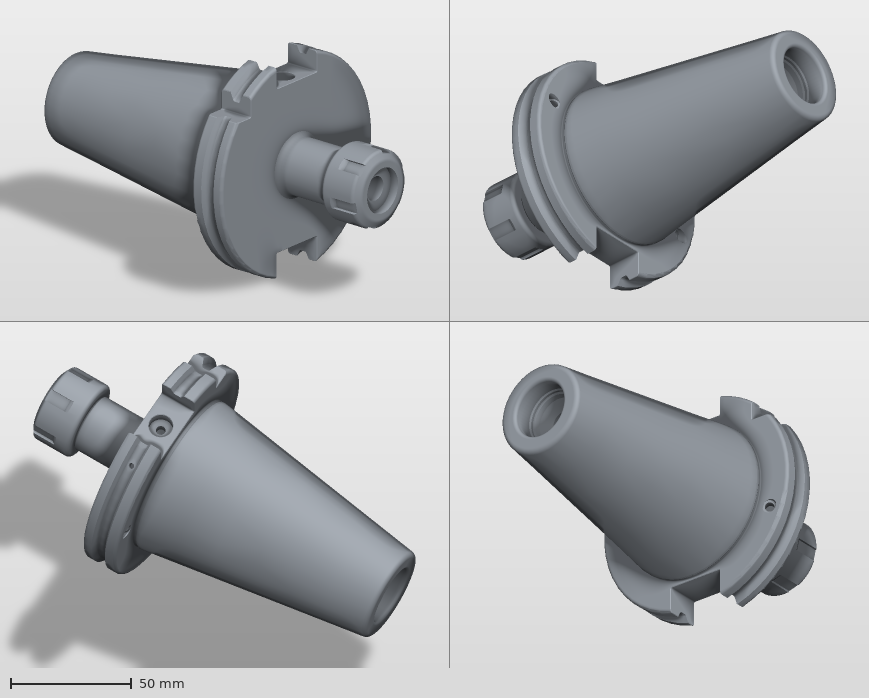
import cadquery as cq
import math


OVERALL_LENGTH = 167.0

TAPER_RATIO = 7 / 24
TAPER_LENGTH = 101.8
GAUGE_RADIUS = 34.9
SMALL_END_RADIUS = GAUGE_RADIUS - TAPER_LENGTH * TAPER_RATIO / 2
SMALL_END_FILLET = 2.2

RELIEF_START = 102.8
RELIEF_DEPTH = 0.3
RELIEF_RAMP = 0.5
RELIEF_FILLET = 0.5
RELIEF_RADIUS = GAUGE_RADIUS - RELIEF_DEPTH

FLANGE_START = 104.7
FLANGE_WIDTH = 16.0
FLANGE_END = FLANGE_START + FLANGE_WIDTH
FLANGE_DIAMETER = 97.3
FLANGE_RADIUS = FLANGE_DIAMETER / 2
FLANGE_RIM_FILLET = 1.5

GROOVE_CENTRE = 113.0
GROOVE_HALF_WIDTH = 3.3
GROOVE_DEPTH = 3.0
GROOVE_FLANK_ANGLE = 30.0
GROOVE_ROOT_FILLET = 1.0
GROOVE_ROOT_HALF_WIDTH = GROOVE_HALF_WIDTH - GROOVE_DEPTH * math.tan(math.radians(GROOVE_FLANK_ANGLE))
GROOVE_ROOT_RADIUS = FLANGE_RADIUS - GROOVE_DEPTH

SLOT_WIDTH = 25.7
TOP_SLOT_FLOOR = 37.5
BOTTOM_SLOT_FLOOR = 35.4
NOTCH_OFFSET = 29.7
SLOT_CORNER_FILLET = 0.5
SLOT_EDGE_CHAMFER = 0.25

CHIP_HOLE_RADIUS = 5.0
CHIP_HOLE_DEPTH = 4.7
CHIP_HOLE_CHAMFER = 0.25
CHIP_PILOT_RADIUS = 2.0
CHIP_PILOT_DEPTH = 3.3
DRILL_POINT_ANGLE = 118.0
CHIP_PILOT_TIP = CHIP_PILOT_RADIUS / math.tan(math.radians(DRILL_POINT_ANGLE / 2))

COOLANT_HOLE_RADIUS = 3.0
COOLANT_HOLE_DEPTH = 1.8
COOLANT_PILOT_RADIUS = 2.0
COOLANT_PILOT_DEPTH = 6.7
COOLANT_HOLE_Y = 39.0
COOLANT_HOLE_Z = 14.2
COOLANT_HOLE_LEAN = 35.0

GROOVE_HOLE_RADIUS = 1.2
GROOVE_HOLE_DEPTH = 3.3
GROOVE_HOLE_Y = 22.7

SHANK_RADIUS = 12.5
SHANK_END = 148.0
SHANK_END_CHAMFER = 0.8
FLARE_RADIUS = 3.8
FLARE_LENGTH = 3.3
SPIGOT_RADIUS = 10.0
SPIGOT_LENGTH = 15.0

ENTRY_RADIUS = 12.5
ENTRY_FILLET = 1.5
ENTRY_DEPTH = 9.2
LAND_RADIUS = 11.9
LAND_START = 9.7
LAND_END = 10.9
LEAD_IN_RADIUS = 11.0
LEAD_IN_START = 11.4
CONE_RADIUS = 10.2
CONE_START = 13.4
CONE_LENGTH = 3.0
THROUGH_RADIUS = 5.3

NUT_RADIUS = 17.0
NUT_FACE_RADIUS = 13.2
NUT_CONE_HALF_ANGLE = 60.0
NUT_CONE_LENGTH = (NUT_RADIUS - NUT_FACE_RADIUS) / math.tan(math.radians(NUT_CONE_HALF_ANGLE))
NUT_EDGE_FILLET = 1.7
NUT_FACE_FILLET = 2.5

SPANNER_SLOT_COUNT = 6
SPANNER_SLOT_FIRST_ANGLE = 46.4
SPANNER_SLOT_WIDTH = 5.3
SPANNER_SLOT_FLOOR = 15.5
SPANNER_SLOT_RAMP = 2.0
SHORT_SLOT_START = 154.1
LONG_SLOT_START = 152.5


def revolve_about_x(outline):
    """Revolve a closed (X, radius) outline a full turn about the X axis."""
    return outline.close().revolve(360, (0, 0, 0), (1, 0, 0))


def taper():
    cone = revolve_about_x(
        cq.Workplane("XZ")
        .lineTo(0, SMALL_END_RADIUS)
        .lineTo(TAPER_LENGTH, GAUGE_RADIUS)
        .lineTo(RELIEF_START, GAUGE_RADIUS)
        .lineTo(RELIEF_START + RELIEF_RAMP, RELIEF_RADIUS)
        .lineTo(FLANGE_START - RELIEF_FILLET, RELIEF_RADIUS)
        .radiusArc((FLANGE_START, RELIEF_RADIUS + RELIEF_FILLET), -RELIEF_FILLET)
        .lineTo(FLANGE_START, 0)
    )
    return cone.faces("<X").edges().fillet(SMALL_END_FILLET)


def groove_cutter():
    ring = revolve_about_x(
        cq.Workplane("XZ")
        .moveTo(GROOVE_CENTRE - GROOVE_HALF_WIDTH, FLANGE_RADIUS)
        .lineTo(GROOVE_CENTRE - GROOVE_ROOT_HALF_WIDTH, GROOVE_ROOT_RADIUS)
        .lineTo(GROOVE_CENTRE + GROOVE_ROOT_HALF_WIDTH, GROOVE_ROOT_RADIUS)
        .lineTo(GROOVE_CENTRE + GROOVE_HALF_WIDTH, FLANGE_RADIUS)
    )
    root_edges = ring.edges(cq.selectors.RadiusNthSelector(0))
    return root_edges.fillet(GROOVE_ROOT_FILLET)


def slot_cutter(floor, direction):
    """Box that opens a drive slot from the floor outwards, up (+1) or down (-1)."""
    height = FLANGE_RADIUS - floor
    box = cq.Workplane("XY").box(FLANGE_WIDTH, SLOT_WIDTH, height)
    floor_corners = "|X and <Z" if direction > 0 else "|X and >Z"
    centre = (FLANGE_START + FLANGE_WIDTH / 2, 0, direction * (floor + height / 2))
    return box.edges(floor_corners).fillet(SLOT_CORNER_FILLET).translate(centre)


def notch_cutter():
    box = cq.Workplane("XY").box(FLANGE_WIDTH, FLANGE_RADIUS, FLANGE_RADIUS, centered=False)
    corner = (FLANGE_START, -NOTCH_OFFSET - FLANGE_RADIUS, NOTCH_OFFSET)
    return box.edges("|X and <Z and >Y").fillet(SLOT_CORNER_FILLET).translate(corner)


def chip_hole_cutter():
    """Chamfered recess with a drill-pointed pilot below it, revolved about its own vertical axis."""
    pilot_end = CHIP_HOLE_DEPTH + CHIP_PILOT_DEPTH
    return (
        cq.Workplane("XZ", origin=(GROOVE_CENTRE, 0, TOP_SLOT_FLOOR))
        .lineTo(CHIP_HOLE_RADIUS + CHIP_HOLE_CHAMFER, 0)
        .lineTo(CHIP_HOLE_RADIUS, -CHIP_HOLE_CHAMFER)
        .lineTo(CHIP_HOLE_RADIUS, -CHIP_HOLE_DEPTH)
        .lineTo(CHIP_PILOT_RADIUS, -CHIP_HOLE_DEPTH)
        .lineTo(CHIP_PILOT_RADIUS, -pilot_end)
        .lineTo(0, -pilot_end - CHIP_PILOT_TIP)
        .close()
        .revolve(360, (0, 0, 0), (0, 1, 0))
    )


def blind_hole(radius, depth, mouth, direction, overrun):
    """Cylinder sunk to a depth below the mouth, with an overrun above it that clears the surface."""
    start = mouth - direction * overrun
    return cq.Workplane(cq.Solid.makeCylinder(radius, depth + overrun, start, direction))


def coolant_hole_cutter(side):
    """Leaning stepped hole on the +Y (side = 1) or -Y (side = -1) half of the flange face."""
    lean = math.radians(COOLANT_HOLE_LEAN)
    outward = cq.Vector(0, side * COOLANT_HOLE_Y, side * COOLANT_HOLE_Z)
    mouth = cq.Vector(FLANGE_START, 0, 0) + outward
    direction = cq.Vector(math.cos(lean), 0, 0) - outward.normalized() * math.sin(lean)
    overrun = COOLANT_HOLE_RADIUS * math.tan(lean)
    recess = blind_hole(COOLANT_HOLE_RADIUS, COOLANT_HOLE_DEPTH, mouth, direction, overrun)
    return recess.union(blind_hole(COOLANT_PILOT_RADIUS, COOLANT_PILOT_DEPTH, mouth, direction, 0))


def groove_hole_cutter():
    """Radial hole in the groove root."""
    height = math.sqrt(GROOVE_ROOT_RADIUS**2 - GROOVE_HOLE_Y**2)
    inward = cq.Vector(0, -GROOVE_HOLE_Y, -height).normalized()
    mouth = cq.Vector(GROOVE_CENTRE, GROOVE_HOLE_Y, height)
    return blind_hole(GROOVE_HOLE_RADIUS, GROOVE_HOLE_DEPTH, mouth, inward, GROOVE_HOLE_RADIUS)


def is_slot_edge(edge):
    """True for the end-face edges that bound the slots and the notch, not the rim."""
    return edge.geomType() == "LINE" or edge.radius() < FLANGE_RIM_FILLET


def flange():
    disc = cq.Workplane("YZ", origin=(FLANGE_START, 0, 0)).circle(FLANGE_RADIUS).extrude(FLANGE_WIDTH)
    slotted = (
        disc.edges().fillet(FLANGE_RIM_FILLET)
        .cut(slot_cutter(TOP_SLOT_FLOOR, 1))
        .cut(slot_cutter(BOTTOM_SLOT_FLOOR, -1))
        .cut(notch_cutter())
    )
    slot_edges = slotted.faces("<X or >X").edges().filter(is_slot_edge)
    return (
        slot_edges.chamfer(SLOT_EDGE_CHAMFER)
        .cut(groove_cutter())
        .cut(chip_hole_cutter())
        .cut(groove_hole_cutter())
    )


def shank():
    flare_height = FLARE_RADIUS - math.sqrt(FLARE_RADIUS**2 - FLARE_LENGTH**2)
    return revolve_about_x(
        cq.Workplane("XZ")
        .moveTo(FLANGE_END, 0)
        .lineTo(FLANGE_END, SHANK_RADIUS + flare_height)
        .radiusArc((FLANGE_END + FLARE_LENGTH, SHANK_RADIUS), -FLARE_RADIUS)
        .lineTo(SHANK_END - SHANK_END_CHAMFER, SHANK_RADIUS)
        .lineTo(SHANK_END, SHANK_RADIUS - SHANK_END_CHAMFER)
        .lineTo(SHANK_END, SPIGOT_RADIUS)
        .lineTo(SHANK_END + SPIGOT_LENGTH, SPIGOT_RADIUS)
        .lineTo(SHANK_END + SPIGOT_LENGTH, 0)
    )


def bore_cutter():
    return revolve_about_x(
        cq.Workplane("XZ")
        .lineTo(0, ENTRY_RADIUS + ENTRY_FILLET)
        .radiusArc((ENTRY_FILLET, ENTRY_RADIUS), -ENTRY_FILLET)
        .lineTo(ENTRY_DEPTH, ENTRY_RADIUS)
        .lineTo(LAND_START, LAND_RADIUS)
        .lineTo(LAND_END, LAND_RADIUS)
        .lineTo(LEAD_IN_START, LEAD_IN_RADIUS)
        .lineTo(CONE_START, CONE_RADIUS)
        .lineTo(CONE_START + CONE_LENGTH, THROUGH_RADIUS)
        .lineTo(OVERALL_LENGTH, THROUGH_RADIUS)
        .lineTo(OVERALL_LENGTH, 0)
    )


def tool_holder():
    holder = taper().union(flange()).union(shank()).cut(bore_cutter())
    for side in (1, -1):
        holder = holder.cut(coolant_hole_cutter(side))
    return holder


def spanner_slot_cutter(start, angle):
    """Flat-bottomed slot with a ramped end, turned about X from the -Y side towards +Z."""
    outline = (
        cq.Workplane("XY", origin=(0, 0, -SPANNER_SLOT_WIDTH / 2))
        .moveTo(start, -NUT_RADIUS)
        .lineTo(start + SPANNER_SLOT_RAMP, -SPANNER_SLOT_FLOOR)
        .lineTo(OVERALL_LENGTH, -SPANNER_SLOT_FLOOR)
        .lineTo(OVERALL_LENGTH, -NUT_RADIUS)
        .close()
    )
    return outline.extrude(SPANNER_SLOT_WIDTH).rotate((0, 0, 0), (1, 0, 0), -angle)


def clamping_nut():
    cone_start = OVERALL_LENGTH - NUT_CONE_LENGTH
    nut = revolve_about_x(
        cq.Workplane("XZ")
        .moveTo(SHANK_END, SPIGOT_RADIUS)
        .lineTo(SHANK_END, NUT_RADIUS)
        .lineTo(cone_start, NUT_RADIUS)
        .lineTo(OVERALL_LENGTH, NUT_FACE_RADIUS)
        .lineTo(OVERALL_LENGTH, SPIGOT_RADIUS)
    )
    nut = nut.edges(cq.selectors.RadiusNthSelector(-1)).fillet(NUT_EDGE_FILLET)
    nut = nut.faces(">X").edges(cq.selectors.RadiusNthSelector(-1)).fillet(NUT_FACE_FILLET)
    for index in range(SPANNER_SLOT_COUNT):
        start = SHORT_SLOT_START if index < SPANNER_SLOT_COUNT / 2 else LONG_SLOT_START
        angle = SPANNER_SLOT_FIRST_ANGLE + index * 360 / SPANNER_SLOT_COUNT
        nut = nut.cut(spanner_slot_cutter(start, angle))
    return nut


holder = tool_holder()
nut = clamping_nut()
result = cq.Compound.makeCompound([holder.val(), nut.val()])